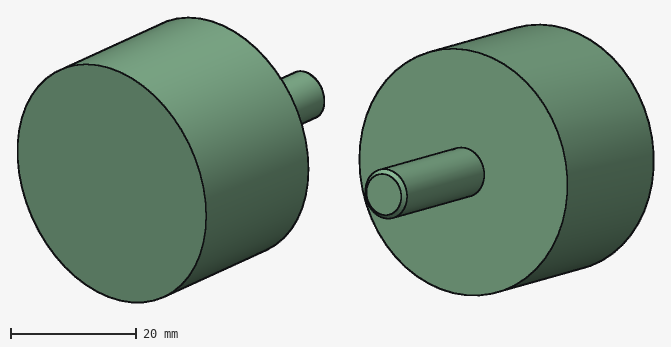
import cadquery as cq

total_length = 48.0
block_diameter = 40.0
block_length = 25.0
stud_diameter = 8.0
stud_chamfer = 0.65

stud_length = total_length - block_length
block_front = -block_length / 2
block_back = block_front + block_length


def rod_along_y(diameter, start, length):
    """Solid cylinder on the Y axis, running from start towards +Y."""
    plane = cq.Plane(origin=(0, start, 0), xDir=(1, 0, 0), normal=(0, 1, 0))
    return cq.Workplane(plane).circle(diameter / 2).extrude(length)


def make_block():
    return rod_along_y(block_diameter, block_front, block_length)


def make_stud():
    """Stud seated on the back face of the block, chamfered at its free end."""
    stud = rod_along_y(stud_diameter, block_back, stud_length)
    return stud.faces(">Y").chamfer(stud_chamfer)


block = make_block()
stud = make_stud()

result = cq.Compound.makeCompound([block.val(), stud.val()])